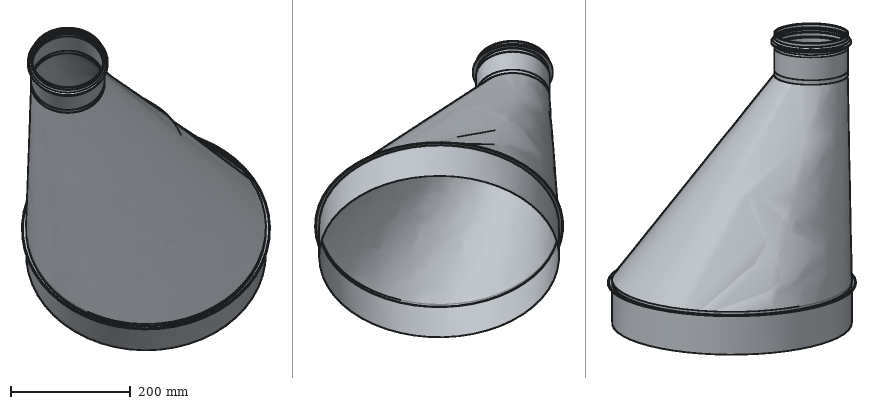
import cadquery as cq

SHEET = 0.5
HEIGHT = 490.5

LARGE_RADIUS = 401.5 / 2
SEAM_RADIUS = 415.5 / 2
FOLD_INNER_RADIUS = 411.5 / 2
BEND_RADIUS = 1.0
SEAM_BOTTOM = 68.5
SHELL_FLANGE_BOTTOM = SEAM_BOTTOM + SHEET
SHELL_FLANGE_TOP = SHELL_FLANGE_BOTTOM + SHEET
SEAM_TOP = SHELL_FLANGE_TOP + SHEET

CONE_BOTTOM = 74.5
CONE_TOP = 418.0
NECK_TOP = 425.8

SPIGOT_RADIUS = 124.0 / 2
NECK_RADIUS = SPIGOT_RADIUS - SHEET
SPIGOT_X = NECK_RADIUS - LARGE_RADIUS
GROOVE_RADIUS = 119.0 / 2
GROOVE_BOTTOM = 469.0
GROOVE_TOP = 482.0
LOWER_SLOPE = 3.5
UPPER_SLOPE = 1.5
HEM_HEIGHT = 1.5

BAND_RADIUS = 120.5 / 2
SHOULDER_RADIUS = SPIGOT_RADIUS
SHOULDER_TOP = 483.0
UPPER_LIP_RADIUS = 129.5 / 2
UPPER_LIP_BOTTOM = 479.5
LOWER_LIP_RADIUS = 134.5 / 2
LOWER_LIP_BOTTOM = 475.0
LOWER_LIP_THICKNESS = 1.5


def turned(points, axis_x=0.0):
    """Revolve a closed (radius, z) outline about the vertical line at axis_x."""
    outline = cq.Workplane("XZ").polyline(points).close()
    return outline.revolve(360, (0, 0, 0), (0, 1, 0)).translate((axis_x, 0, 0))


def tube(outer_radius, bottom, top, axis_x=0.0):
    """Make a vertical sheet-metal tube."""
    inner_radius = outer_radius - SHEET
    return turned(
        [(inner_radius, bottom), (outer_radius, bottom), (outer_radius, top), (inner_radius, top)],
        axis_x,
    )


def oblique_cone(inset):
    """Loft from the large circle to the offset neck circle, both reduced by inset."""
    return (
        cq.Workplane("XY", origin=(0, 0, CONE_BOTTOM))
        .circle(LARGE_RADIUS - inset)
        .workplane(offset=CONE_TOP - CONE_BOTTOM)
        .center(SPIGOT_X, 0)
        .circle(NECK_RADIUS - inset)
        .loft(ruled=True)
    )


def make_collar():
    """Large tube with a bent-out flange whose edge folds back over the shell flange."""
    inner_radius = LARGE_RADIUS - SHEET
    fold_wall_radius = SEAM_RADIUS - SHEET
    outline = (
        cq.Workplane("XZ")
        .moveTo(inner_radius, 0)
        .lineTo(LARGE_RADIUS, 0)
        .lineTo(LARGE_RADIUS, SEAM_BOTTOM - BEND_RADIUS)
        .radiusArc((LARGE_RADIUS + BEND_RADIUS, SEAM_BOTTOM), BEND_RADIUS)
        .lineTo(SEAM_RADIUS, SEAM_BOTTOM)
        .lineTo(SEAM_RADIUS, SEAM_TOP)
        .lineTo(FOLD_INNER_RADIUS, SEAM_TOP)
        .lineTo(FOLD_INNER_RADIUS, SHELL_FLANGE_TOP)
        .lineTo(fold_wall_radius, SHELL_FLANGE_TOP)
        .lineTo(fold_wall_radius, SHELL_FLANGE_BOTTOM)
        .lineTo(inner_radius, SHELL_FLANGE_BOTTOM)
        .close()
    )
    return outline.revolve(360, (0, 0, 0), (0, 1, 0))


def make_shell():
    """Oblique hollow cone with a flanged foot below and a short neck above."""
    inner_radius = LARGE_RADIUS - SHEET
    flange_radius = SEAM_RADIUS - SHEET
    foot = turned([
        (inner_radius, SHELL_FLANGE_BOTTOM),
        (flange_radius, SHELL_FLANGE_BOTTOM),
        (flange_radius, SHELL_FLANGE_TOP),
        (LARGE_RADIUS, SHELL_FLANGE_TOP),
        (LARGE_RADIUS, CONE_BOTTOM),
        (inner_radius, CONE_BOTTOM),
    ])
    cone = oblique_cone(0).cut(oblique_cone(SHEET))
    neck = tube(NECK_RADIUS, CONE_TOP, NECK_TOP, SPIGOT_X)
    return foot.union(cone).union(neck)


def make_spigot():
    """Small tube with a rolled gasket groove and a rim hemmed inward."""
    outer_wall = [
        (SPIGOT_RADIUS, CONE_TOP),
        (SPIGOT_RADIUS, GROOVE_BOTTOM - LOWER_SLOPE),
        (GROOVE_RADIUS, GROOVE_BOTTOM),
        (GROOVE_RADIUS, GROOVE_TOP),
        (SPIGOT_RADIUS, GROOVE_TOP + UPPER_SLOPE),
    ]
    inner_wall = [(radius - SHEET, z) for radius, z in outer_wall]
    hem_bottom = HEIGHT - HEM_HEIGHT
    hem_radius = SPIGOT_RADIUS - 2 * SHEET
    hemmed_rim = [
        (SPIGOT_RADIUS, HEIGHT),
        (hem_radius, HEIGHT),
        (hem_radius, hem_bottom),
        (SPIGOT_RADIUS - SHEET, hem_bottom),
    ]
    return turned(outer_wall + hemmed_rim + inner_wall[::-1], SPIGOT_X)


def make_gasket():
    """Band in the upper part of the groove, with a flat lower lip and a tapered upper lip."""
    lower_lip_top = LOWER_LIP_BOTTOM + LOWER_LIP_THICKNESS
    return turned([
        (GROOVE_RADIUS, LOWER_LIP_BOTTOM),
        (LOWER_LIP_RADIUS, LOWER_LIP_BOTTOM),
        (LOWER_LIP_RADIUS, lower_lip_top),
        (BAND_RADIUS, lower_lip_top),
        (BAND_RADIUS, UPPER_LIP_BOTTOM),
        (UPPER_LIP_RADIUS, UPPER_LIP_BOTTOM),
        (SHOULDER_RADIUS, SHOULDER_TOP),
        (GROOVE_RADIUS, GROOVE_TOP),
    ], SPIGOT_X)


collar = make_collar()
shell = make_shell()
spigot = make_spigot()
gasket = make_gasket()

result = cq.Compound.makeCompound([collar.val(), shell.solids().val(), spigot.val(), gasket.val()])